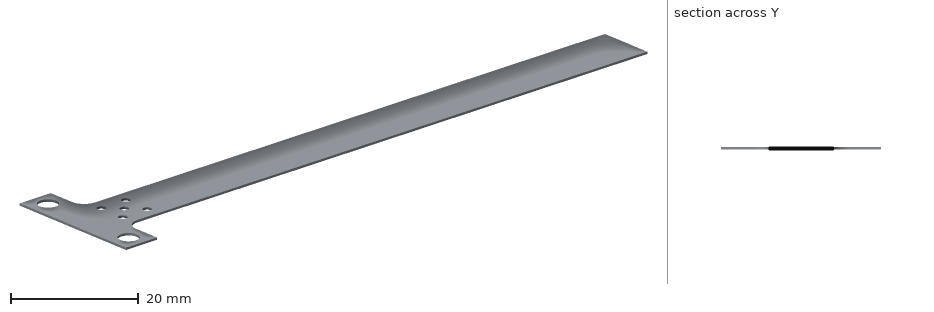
import cadquery as cq

length = 116.0
thickness = 0.41

bar_width = 25.0
bar_depth = 6.5
strip_width = 10.0
corner_radius = 2.5

mount_hole_diameter = 3.5
mount_hole_spacing = 19.0
mount_hole_y = bar_depth / 2

small_hole_diameter = 1.5
small_hole_spacing = 5.1
small_hole_center_y = 10.8


def t_plate():
    """Flat T with rounded inner corners; its foot lies on the X axis."""
    bar = cq.Workplane("XY").box(bar_width, bar_depth, thickness, centered=(True, False, False))
    strip = cq.Workplane("XY").box(strip_width, length, thickness, centered=(True, False, False))
    inner_corners = cq.selectors.BoxSelector(
        (-strip_width / 2 - corner_radius, bar_depth - corner_radius, -thickness),
        (strip_width / 2 + corner_radius, bar_depth + corner_radius, 2 * thickness),
    )
    return bar.union(strip).edges("|Z").edges(inner_corners).fillet(corner_radius)


def through_holes(points, diameter):
    return cq.Workplane("XY").pushPoints(points).circle(diameter / 2).extrude(thickness)


mount_points = [(side * mount_hole_spacing / 2, mount_hole_y) for side in (-1, 1)]

small_points = [(0, small_hole_center_y)]
for x_side in (-1, 1):
    for y_side in (-1, 1):
        x = x_side * small_hole_spacing / 2
        y = small_hole_center_y + y_side * small_hole_spacing / 2
        small_points.append((x, y))

result = (
    t_plate()
    .cut(through_holes(mount_points, mount_hole_diameter))
    .cut(through_holes(small_points, small_hole_diameter))
)